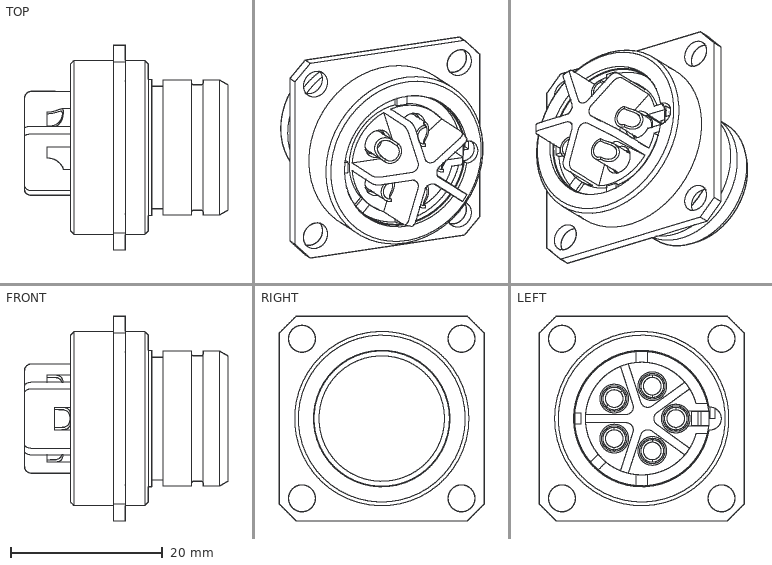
import cadquery as cq
import math


SHELL_FRONT = 6.05
SHELL_BACK = 16.34
SHELL_RADIUS = 11.48
SHELL_CHAMFER = 0.49
COLLAR_BACK = 16.82
COLLAR_RADIUS = 9.0
COLLAR_CHAMFER = 0.08
NECK_BACK = 18.22
NECK_RADIUS = 8.1
TAIL_RADIUS = 8.9
GROOVE_START = 22.0
GROOVE_WIDTH = 1.5
GROOVE_RADIUS = 8.3
GROOVE_FILLET = 0.22
TAIL_BACK = 26.8
TAIL_TAPER_LENGTH = 1.13
TAIL_TAPER_DEPTH = 0.65

FLANGE_SIDE = 27.0
FLANGE_FRONT = 11.72
FLANGE_THICKNESS = 1.57
FLANGE_CHAMFER = 2.25
MOUNT_HOLE_PITCH = 21.0
MOUNT_HOLE_DIAMETER = 3.5

MOUTH_RADIUS = 9.0
MOUTH_DEPTH = 0.7
CAVITY_RADIUS = 8.85
CAVITY_FLOOR = 7.88

DISC_RADIUS = 7.42
DISC_FRONT = 7.02
LAND_WIDTH = 3.95
RIB_WIDTH = 1.45
RIB_FRONT = 7.35
RIB_ANGLES = (90, -90, -45)
KEY_INNER_RADIUS = 8.0
KEY_OUTER_RADIUS = 8.78
KEY_FILLET = 0.25

ARM_COUNT = 5
ARM_PITCH = 360 / ARM_COUNT
ARM_WIDTH = 1.08
ARM_TIP_FILLET = 0.95
ARM_ROOT_FILLET = 0.97

CONTACT_CIRCLE_RADIUS = 4.48
CONTACT_RADIUS = 1.48
CONTACT_FRONT = 2.97
RECESSED_CONTACT = 2
RECESSED_CONTACT_FRONT = 3.97
CUP_RADIUS = 1.15
CUP_DEPTH = 5.4
CUP_TIP_ANGLE = 118
SCOOP_LENGTH = 2.27
SCOOP_FILLET = 2.15
SCOOP_DIRECTION = 180
TURNED_CONTACT = 0
TURNED_SCOOP_DIRECTION = 45
SHOULDER_RADIUS = 1.67
SHOULDER_FRONT = 8.1
CONTACT_HOLE_RADIUS = 1.9
CONTACT_HOLE_BACK = 11.88
CONTACT_ROOT = 0.27

SLOT_WIDTH = 2.0
SLOT_INNER = 6.1
SLOT_OUTER = 8.83
SLOT_FLOOR = 10.25
TONGUE_WIDTH = 1.9
TONGUE_INNER = 6.55
TONGUE_FRONT = 9.45
BAR_INNER = 7.4
BAR_OUTER = 7.83
BAR_FRONT = 9.3

NOTCH_RADIUS = 1.5
NOTCH_CENTRE = 8.96
NOTCH_DEPTH = 1.08
POCKET_OUTER = 9.67
POCKET_DEPTH = 2.15

SELECT_MARGIN = 0.03


def at_x(x):
    """Plane across the axis, with local axes along Y and Z."""
    return cq.Workplane("YZ", origin=(x, 0, 0))


def cylinder(x_start, x_end, radius, y=0, z=0):
    return at_x(x_start).center(y, z).circle(radius).extrude(x_end - x_start)


def block(x_start, x_end, y_start, y_end, width, angle=0):
    """Box centred on the local Y axis, then turned about the connector axis."""
    box = at_x(x_start).center((y_start + y_end) / 2, 0).rect(y_end - y_start, width)
    return box.extrude(x_end - x_start).rotate((0, 0, 0), (1, 0, 0), angle)


def edges_near_axis(x_start, x_end, reach):
    """Selector for edges that lie wholly between two X planes and within reach of the axis."""
    low = (x_start - SELECT_MARGIN, -reach - SELECT_MARGIN, -reach - SELECT_MARGIN)
    high = (x_end + SELECT_MARGIN, reach + SELECT_MARGIN, reach + SELECT_MARGIN)
    return cq.selectors.BoxSelector(low, high, boundingbox=True)


def shell():
    front = cylinder(SHELL_FRONT, SHELL_BACK, SHELL_RADIUS).edges().chamfer(SHELL_CHAMFER)
    collar = cylinder(SHELL_BACK, COLLAR_BACK, COLLAR_RADIUS).faces(">X").chamfer(COLLAR_CHAMFER)
    neck = cylinder(COLLAR_BACK, NECK_BACK, NECK_RADIUS)
    tail = cylinder(NECK_BACK, TAIL_BACK, TAIL_RADIUS)
    tail = tail.faces(">X").chamfer(TAIL_TAPER_LENGTH, TAIL_TAPER_DEPTH)
    groove_end = GROOVE_START + GROOVE_WIDTH
    groove = cylinder(GROOVE_START, groove_end, TAIL_RADIUS)
    core = cylinder(GROOVE_START, groove_end, GROOVE_RADIUS)
    tail = tail.cut(groove.cut(core))
    floor_edges = edges_near_axis(GROOVE_START, groove_end, GROOVE_RADIUS)
    tail = tail.edges(floor_edges).fillet(GROOVE_FILLET)
    return front.union(collar).union(neck).union(tail)


def flange():
    plate = at_x(FLANGE_FRONT).rect(FLANGE_SIDE, FLANGE_SIDE).extrude(FLANGE_THICKNESS)
    plate = plate.edges("|X").chamfer(FLANGE_CHAMFER)
    centres = at_x(FLANGE_FRONT).rect(MOUNT_HOLE_PITCH, MOUNT_HOLE_PITCH, forConstruction=True)
    holes = centres.vertices()
    return plate.cut(holes.circle(MOUNT_HOLE_DIAMETER / 2).extrude(FLANGE_THICKNESS))


def front_cavity():
    step = SHELL_FRONT + MOUTH_DEPTH
    return cylinder(SHELL_FRONT, step, MOUTH_RADIUS).union(cylinder(step, CAVITY_FLOOR, CAVITY_RADIUS))


def insert():
    """Disc, land, ribs and key on the cavity floor."""
    base = cylinder(DISC_FRONT, CAVITY_FLOOR, DISC_RADIUS)
    base = base.union(block(DISC_FRONT, CAVITY_FLOOR, 0, CAVITY_RADIUS, LAND_WIDTH, 180))
    for angle in RIB_ANGLES:
        base = base.union(block(RIB_FRONT, CAVITY_FLOOR, 0, CAVITY_RADIUS, RIB_WIDTH, angle))
    key = block(DISC_FRONT, CAVITY_FLOOR, KEY_INNER_RADIUS, KEY_OUTER_RADIUS, RIB_WIDTH)
    key = key.faces("<X").edges(">Y").fillet(KEY_FILLET)
    return base.union(key).intersect(cylinder(DISC_FRONT, CAVITY_FLOOR, CAVITY_RADIUS))


def star():
    arms = block(0, DISC_FRONT, 0, SHELL_RADIUS, ARM_WIDTH)
    for i in range(1, ARM_COUNT):
        arms = arms.union(block(0, DISC_FRONT, 0, SHELL_RADIUS, ARM_WIDTH, i * ARM_PITCH))
    root_distance = ARM_WIDTH / 2 / math.sin(math.radians(ARM_PITCH / 2))
    roots = edges_near_axis(0, DISC_FRONT, root_distance)
    arms = arms.edges(roots).edges("|X").fillet(ARM_ROOT_FILLET)
    envelope = cylinder(0, DISC_FRONT, DISC_RADIUS).faces("<X").edges().fillet(ARM_TIP_FILLET)
    return arms.intersect(envelope)


def contact(front, scoop_direction):
    """Hollow solder cup on the connector axis, with one side of its mouth scooped away."""
    pin = cylinder(front, CONTACT_HOLE_BACK + CONTACT_ROOT, CONTACT_RADIUS)
    pin = pin.union(cylinder(SHOULDER_FRONT, CONTACT_HOLE_BACK, SHOULDER_RADIUS))
    tip_length = CUP_RADIUS / math.tan(math.radians(CUP_TIP_ANGLE / 2))
    bottom = front + CUP_DEPTH
    cup = (
        cq.Workplane("XY")
        .moveTo(front, 0)
        .lineTo(front, CUP_RADIUS)
        .lineTo(bottom, CUP_RADIUS)
        .lineTo(bottom + tip_length, 0)
        .close()
        .revolve(360, (0, 0), (1, 0))
    )
    reach = 2 * CONTACT_RADIUS
    scoop = block(front, front + SCOOP_LENGTH, 0, reach, reach)
    scoop = scoop.faces(">X").edges("<Y").fillet(SCOOP_FILLET)
    return pin.cut(cup).cut(scoop.rotate((0, 0, 0), (1, 0, 0), scoop_direction))


def contact_positions():
    for i in range(ARM_COUNT):
        angle = math.radians((i + 0.5) * ARM_PITCH)
        yield i, CONTACT_CIRCLE_RADIUS * math.cos(angle), CONTACT_CIRCLE_RADIUS * math.sin(angle)


def land_slot():
    slot = block(DISC_FRONT, SLOT_FLOOR, SLOT_INNER, SLOT_OUTER, SLOT_WIDTH, 180)
    tongue = block(TONGUE_FRONT, SLOT_FLOOR, TONGUE_INNER, SLOT_OUTER, TONGUE_WIDTH)
    tongue = tongue.union(block(BAR_FRONT, SLOT_FLOOR, BAR_INNER, BAR_OUTER, TONGUE_WIDTH))
    return slot.cut(tongue.rotate((0, 0, 0), (1, 0, 0), 180))


def mouth_notch():
    notch = cylinder(SHELL_FRONT, SHELL_FRONT + NOTCH_DEPTH, NOTCH_RADIUS, -NOTCH_CENTRE)
    pocket = cylinder(SHELL_FRONT, SHELL_FRONT + POCKET_DEPTH, NOTCH_RADIUS, -NOTCH_CENTRE)
    upper = block(SHELL_FRONT, SHELL_FRONT + POCKET_DEPTH, -POCKET_OUTER, -MOUTH_RADIUS, 2 * NOTCH_RADIUS)
    pocket = pocket.intersect(upper.translate((0, 0, NOTCH_RADIUS)))
    return notch.union(pocket)


result = shell().union(flange()).cut(front_cavity()).cut(mouth_notch())
result = result.union(insert()).cut(land_slot())

for _, y, z in contact_positions():
    result = result.cut(cylinder(DISC_FRONT, CONTACT_HOLE_BACK, CONTACT_HOLE_RADIUS, y, z))

result = result.union(star())

for index, y, z in contact_positions():
    contact_front = RECESSED_CONTACT_FRONT if index == RECESSED_CONTACT else CONTACT_FRONT
    direction = TURNED_SCOOP_DIRECTION if index == TURNED_CONTACT else SCOOP_DIRECTION
    result = result.union(contact(contact_front, direction).translate((0, y, z)))